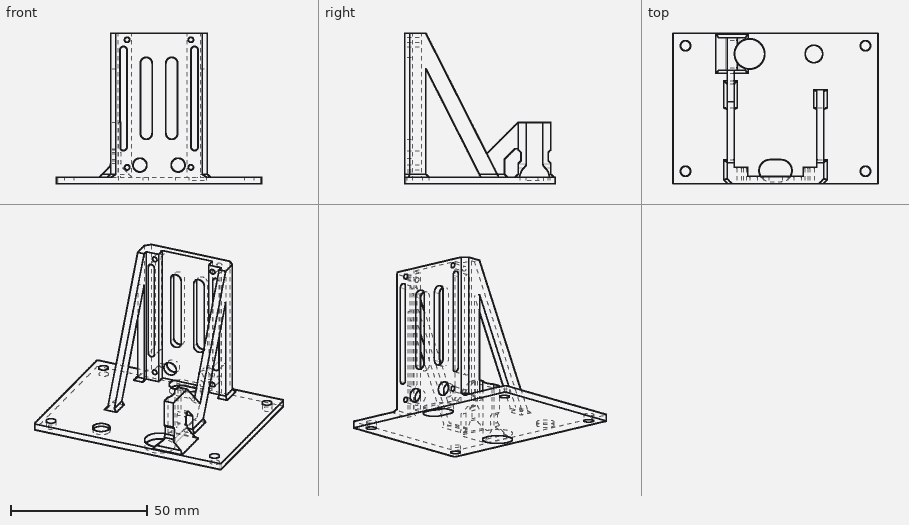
import cadquery as cq
import math

PLATE_X = 75.4
PLATE_Y = 55.4
PLATE_Z = 2.5
PLATE_CORNER = 0.45
HEIGHT = 55.3
SCREW_DIA = 3.6
SCREW_INSET = 4.7
LARGE_HOLE_DIA = 11.0
LARGE_HOLE_X = -9.5
POCKET_DIA = 6.4
POCKET_X = 14.1
POCKET_DEPTH = 1.2
REAR_Y = 47.7
FLOOR_SLOT_X = 12.0
FLOOR_SLOT_Y = 8.0
FLOOR_SLOT_CENTRE_Y = 4.9

WALL_HALF = 17.8
WALL_CORNER = 1.95
WEB_Y = 2.8
STEP_Y = 6.1
STEP_HALF = 10.1
COLUMN_Y = 7.85
ARM_X = 2.65
COLUMN_INNER = WALL_HALF - ARM_X

MOUNT_DIA = 1.8
MOUNT_X = 11.7
MOUNT_LOW_Z = 6.0
MOUNT_HIGH_Z = 52.85
CABLE_DIA = 5.0
CABLE_X = 7.0
CABLE_Z = 6.85
OUTER_SLOT_X = 13.05
OUTER_SLOT_WIDTH = 2.5
OUTER_SLOT_LOW = 12.2
OUTER_SLOT_HIGH = 50.4
INNER_SLOT_X = 4.7
INNER_SLOT_WIDTH = 4.2
INNER_SLOT_LOW = 16.35
INNER_SLOT_HIGH = 46.4

ARM_END_Y = 34.5
ARM_SLOPE = (HEIGHT - PLATE_Z) / (ARM_END_Y - COLUMN_Y)
ARM_DROP = 13.05

BLOCK_Y = 12.1
BLOCK_TOP = 22.55
BLOCK_X = 3.7
BLOCK_FRONT = REAR_Y - BLOCK_Y / 2
BLOCK_BACK = REAR_Y + BLOCK_Y / 2
BLOCK_MID_X = -WALL_HALF + BLOCK_X / 2
FLARE_RUN = 3.5
FLARE_RADIUS = 2.0
NECK_DEPTH = 1.0
NECK_LOW = 7.5
NECK_HIGH = 12.5
LEG_BACK = 36.7
LEG_SHOULDER = 9.0
ARCH_TOP = 12.8

FOOT_OUT = 1.1
FOOT_Z = 1.0
FOOT_TOP = PLATE_Z + FOOT_Z


def arm_top_y(z):
    """Y of the upper face of a sloping arm at height z."""
    return COLUMN_Y + (HEIGHT - z) / ARM_SLOPE


def arm_under_y(z):
    """Y of the lower face of a sloping arm at height z."""
    return arm_top_y(z + ARM_DROP)


def side_profile(points, x_low, x_high):
    """Extrude a (Y, Z) outline between two X positions."""
    outline = cq.Workplane("YZ").workplane(offset=x_low).polyline(points).close()
    return outline.extrude(x_high - x_low)


def flared_foot(top, bottom):
    """Solid tapering from a wide outline on the plate up to a narrower one."""
    base = cq.Workplane("XY").workplane(offset=PLATE_Z).polyline(bottom).close()
    return base.workplane(offset=FOOT_Z).polyline(top).close().loft(ruled=True)


def rectangle(x_low, x_high, y_low, y_high):
    """Corner points of a rectangle."""
    return [(x_low, y_low), (x_high, y_low), (x_high, y_high), (x_low, y_high)]


def base_plate():
    """Plate with corner screw holes, a floor slot by the wall and a blind round pocket."""
    plate = cq.Workplane("XY").box(PLATE_X, PLATE_Y, PLATE_Z, centered=(True, False, False))
    plate = plate.edges("|Z").fillet(PLATE_CORNER)
    screw_x = PLATE_X / 2 - SCREW_INSET
    screws = [(x, y) for x in (-screw_x, screw_x) for y in (SCREW_INSET, PLATE_Y - SCREW_INSET)]
    plate = plate.cut(cq.Workplane("XY").pushPoints(screws).circle(SCREW_DIA / 2).extrude(PLATE_Z))

    slot = cq.Workplane("XY").center(0, FLOOR_SLOT_CENTRE_Y).slot2D(FLOOR_SLOT_X, FLOOR_SLOT_Y)
    plate = plate.cut(slot.extrude(PLATE_Z))

    pocket_floor = cq.Workplane("XY").workplane(offset=PLATE_Z - POCKET_DEPTH)
    pocket = pocket_floor.center(POCKET_X, REAR_Y).circle(POCKET_DIA / 2)
    return plate.cut(pocket.extrude(POCKET_DEPTH))


def wall_blank():
    """Channel-shaped wall with two inner steps and bevelled front corners."""
    right_half = [
        (WALL_HALF - WALL_CORNER, 0),
        (WALL_HALF, WALL_CORNER),
        (WALL_HALF, COLUMN_Y),
        (COLUMN_INNER, COLUMN_Y),
        (COLUMN_INNER, STEP_Y),
        (STEP_HALF, STEP_Y),
        (STEP_HALF, WEB_Y),
    ]
    left_half = [(-x, y) for x, y in reversed(right_half)]
    outline = cq.Workplane("XY").workplane(offset=PLATE_Z).polyline(right_half + left_half).close()
    return outline.extrude(HEIGHT - PLATE_Z)


def wall_foot():
    """Flared foot around the outer side of the right column."""
    top = [
        (COLUMN_INNER, 0),
        (WALL_HALF - WALL_CORNER, 0),
        (WALL_HALF, WALL_CORNER),
        (WALL_HALF, COLUMN_Y),
        (COLUMN_INNER, COLUMN_Y),
    ]
    outer_x = WALL_HALF + FOOT_OUT
    bevel_y = WALL_CORNER - FOOT_OUT * math.tan(math.pi / 8)
    bottom = [
        (COLUMN_INNER, 0),
        (outer_x - bevel_y, 0),
        (outer_x, bevel_y),
        (outer_x, COLUMN_Y + FOOT_OUT),
        (COLUMN_INNER, COLUMN_Y + FOOT_OUT),
    ]
    return flared_foot(top, bottom)


def wall_openings():
    """All through cuts of the wall, running along Y."""
    front = cq.Workplane("XZ")
    mounts = [(x, z) for x in (-MOUNT_X, MOUNT_X) for z in (MOUNT_LOW_Z, MOUNT_HIGH_Z)]
    cutter = front.pushPoints(mounts).circle(MOUNT_DIA / 2).extrude(-COLUMN_Y)
    cables = [(-CABLE_X, CABLE_Z), (CABLE_X, CABLE_Z)]
    cutter = cutter.union(front.pushPoints(cables).circle(CABLE_DIA / 2).extrude(-COLUMN_Y))
    for x, width, low, high in (
        (OUTER_SLOT_X, OUTER_SLOT_WIDTH, OUTER_SLOT_LOW, OUTER_SLOT_HIGH),
        (INNER_SLOT_X, INNER_SLOT_WIDTH, INNER_SLOT_LOW, INNER_SLOT_HIGH),
    ):
        centres = [(-x, (low + high) / 2), (x, (low + high) / 2)]
        slots = front.pushPoints(centres).slot2D(high - low, width, 90)
        cutter = cutter.union(slots.extrude(-COLUMN_Y))
    return cutter


def arm_foot(back_y, back_out):
    """Flared foot for an arm on the right side, cut off in front along the arm's underside."""
    top = rectangle(COLUMN_INNER, WALL_HALF, COLUMN_Y, back_y)
    outer_low = COLUMN_INNER - FOOT_OUT
    outer_high = WALL_HALF + FOOT_OUT
    bottom = rectangle(outer_low, outer_high, COLUMN_Y, back_y + back_out)
    ahead_of_arm = [
        (0, PLATE_Z),
        (arm_under_y(PLATE_Z), PLATE_Z),
        (arm_under_y(FOOT_TOP), FOOT_TOP),
        (0, FOOT_TOP),
    ]
    return flared_foot(top, bottom).cut(side_profile(ahead_of_arm, outer_low, outer_high))


def sloping_strip(x_low, x_high):
    """Straight arm from the top of the wall down to the plate."""
    outline = [
        (COLUMN_Y, HEIGHT),
        (COLUMN_Y, HEIGHT - ARM_DROP),
        (arm_under_y(PLATE_Z), PLATE_Z),
        (arm_top_y(PLATE_Z), PLATE_Z),
    ]
    return side_profile(outline, x_low, x_high)


def right_arm():
    """Straight arm whose foot is cut off flush with the arm's sloping faces."""
    foot = arm_foot(PLATE_Y, 0)
    trim = sloping_strip(COLUMN_INNER - FOOT_OUT, WALL_HALF + FOOT_OUT)
    return sloping_strip(COLUMN_INNER, WALL_HALF).union(foot.intersect(trim))


def left_arm():
    """Arm with a leg on the plate that rises again at 45 degrees behind a valley."""
    valley_y = (HEIGHT + ARM_SLOPE * COLUMN_Y - BLOCK_TOP + BLOCK_FRONT) / (ARM_SLOPE + 1)
    arch_front = LEG_BACK + ARCH_TOP - LEG_SHOULDER
    outline = [
        (COLUMN_Y, HEIGHT),
        (COLUMN_Y, HEIGHT - ARM_DROP),
        (arm_under_y(PLATE_Z), PLATE_Z),
        (LEG_BACK, PLATE_Z),
        (LEG_BACK, LEG_SHOULDER),
        (arch_front, ARCH_TOP),
        (BLOCK_FRONT, ARCH_TOP),
        (BLOCK_FRONT, BLOCK_TOP),
        (valley_y, BLOCK_TOP - (BLOCK_FRONT - valley_y)),
    ]
    arm = side_profile(outline, -WALL_HALF, -COLUMN_INNER)
    foot = arm_foot(LEG_BACK, FOOT_OUT).mirror("YZ")
    return arm.union(foot)


def clamp_block():
    """Block with a flared base and a neck cut into its front and back faces."""
    half = BLOCK_X / 2
    curve = math.pi / 4
    slope_half = half + FLARE_RADIUS * (1 - math.cos(curve))
    base_half = slope_half + FLARE_RUN
    slope_z = PLATE_Z + FLARE_RUN
    curve_z = slope_z + FLARE_RADIUS * math.sin(curve)
    mid_half = half + FLARE_RADIUS * (1 - math.cos(curve / 2))
    mid_z = curve_z - FLARE_RADIUS * math.sin(curve / 2)
    section = (
        cq.Workplane("XZ", origin=(BLOCK_MID_X, BLOCK_BACK, 0))
        .moveTo(-base_half, PLATE_Z)
        .lineTo(base_half, PLATE_Z)
        .lineTo(slope_half, slope_z)
        .threePointArc((mid_half, mid_z), (half, curve_z))
        .lineTo(half, BLOCK_TOP)
        .lineTo(-half, BLOCK_TOP)
        .lineTo(-half, curve_z)
        .threePointArc((-mid_half, mid_z), (-slope_half, slope_z))
        .close()
    )
    block = section.extrude(BLOCK_Y)

    x_low = BLOCK_MID_X - base_half
    x_high = BLOCK_MID_X + base_half
    for face_y, inward in ((BLOCK_FRONT, 1), (BLOCK_BACK, -1)):
        neck_y = face_y + inward * NECK_DEPTH
        groove = [
            (face_y, NECK_LOW),
            (neck_y, NECK_LOW + NECK_DEPTH),
            (neck_y, NECK_HIGH - NECK_DEPTH),
            (face_y, NECK_HIGH),
        ]
        block = block.cut(side_profile(groove, x_low, x_high))

    foot = flared_foot(
        rectangle(x_low + FOOT_Z, x_high - FOOT_Z, BLOCK_FRONT, BLOCK_BACK),
        rectangle(x_low, x_high, BLOCK_FRONT - FOOT_OUT, BLOCK_BACK + FOOT_OUT),
    )
    return block.union(foot)


def wall():
    """Upright wall with both feet and all its openings."""
    right_foot = wall_foot()
    body = wall_blank().union(right_foot).union(right_foot.mirror("YZ"))
    return body.cut(wall_openings())


large_hole = cq.Workplane("XY").center(LARGE_HOLE_X, REAR_Y).circle(LARGE_HOLE_DIA / 2).extrude(HEIGHT)

result = base_plate()
for piece in (wall(), right_arm(), left_arm(), clamp_block()):
    result = result.union(piece)
result = result.cut(large_hole)